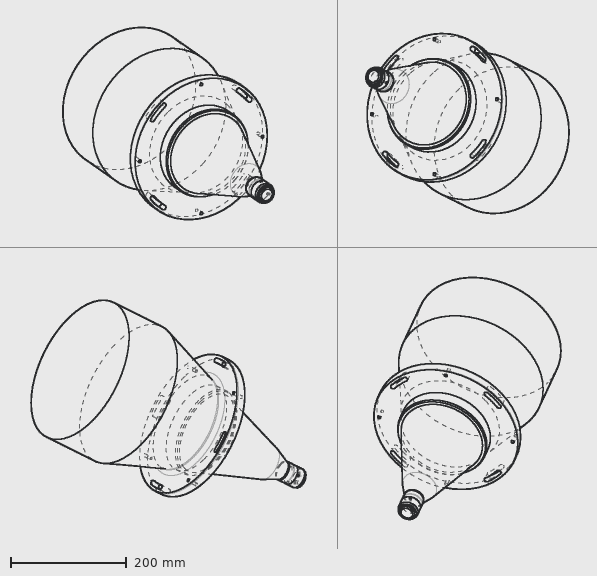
import cadquery as cq
import math

TOTAL_LENGTH = 503.4
DRUM_END = 110.0
REAR_CONE_END = 235.8
FLANGE_START = 246.0
FLANGE_END = 264.0
COLLAR_END = 288.5
MAIN_CONE_END = 426.5
NOSE_CONE_END = 458.8
RING_START = 461.0
RING_END = 470.5
KNOB_SEAT_END = 479.8
KNOB_END = 499.8

OUTER_RADIUS = 130.0
NECK_RADIUS = 89.0
COLLAR_RADIUS = 80.3
MAIN_CONE_BASE_RADIUS = 73.3
NOSE_CONE_BASE_RADIUS = 30.7
NOSE_CONE_TIP_RADIUS = 17.3
RING_RADIUS = 18.0
KNOB_SEAT_RADIUS = 17.8
KNOB_RADIUS = 17.95
BUTTON_RADIUS = 13.6

NECK_FILLET = 7.5
FLANGE_CHAMFER_LENGTH = 2.0
FLANGE_CHAMFER_DROP = 0.6
COLLAR_CHAMFER_LENGTH = 3.2
COLLAR_CHAMFER_DROP = 1.6
RING_SHOULDER = 1.4
KNOB_CHAMFER_LENGTH = 4.5
KNOB_CHAMFER_DROP = 1.5
BUTTON_CHAMFER_LENGTH = 1.5
BUTTON_CHAMFER_DROP = 3.0

PITCH_RADIUS = 120.0
OPENING_COUNT = 4
SLOT_WIDTH = 8.0
SLOT_HALF_ANGLE = 7.5
SLOT_FIRST_ANGLE = 45.0
PIN_HOLE_DIAMETER = 5.0

KNOB_HOLE_COUNT = 3
KNOB_HOLE_FIRST_ANGLE = 90.0
KNOB_HOLE_DIAMETER = 3.0
KNOB_HOLE_DEPTH = 5.0
KNOB_HOLE_X = 483.0


def polar(radius, angle):
    """Point on a circle in the YZ plane, angle in degrees from +Y towards +Z."""
    return radius * math.cos(math.radians(angle)), radius * math.sin(math.radians(angle))


def turned_body():
    """Half outline (X along the axis, Y as radius) revolved about X."""
    fillet_center_x = FLANGE_START - NECK_FILLET
    fillet_mid = NECK_FILLET * math.sin(math.radians(45))
    outline = (
        cq.Workplane("XY")
        .moveTo(0, 0)
        .lineTo(0, OUTER_RADIUS)
        .lineTo(DRUM_END, OUTER_RADIUS)
        .lineTo(REAR_CONE_END, NECK_RADIUS)
        .lineTo(fillet_center_x, NECK_RADIUS)
        .threePointArc(
            (fillet_center_x + fillet_mid, NECK_RADIUS + NECK_FILLET - fillet_mid),
            (FLANGE_START, NECK_RADIUS + NECK_FILLET),
        )
        .lineTo(FLANGE_START, OUTER_RADIUS - FLANGE_CHAMFER_DROP)
        .lineTo(FLANGE_START + FLANGE_CHAMFER_LENGTH, OUTER_RADIUS)
        .lineTo(FLANGE_END - FLANGE_CHAMFER_LENGTH, OUTER_RADIUS)
        .lineTo(FLANGE_END, OUTER_RADIUS - FLANGE_CHAMFER_DROP)
        .lineTo(FLANGE_END, COLLAR_RADIUS)
        .lineTo(COLLAR_END - COLLAR_CHAMFER_LENGTH, COLLAR_RADIUS)
        .lineTo(COLLAR_END, COLLAR_RADIUS - COLLAR_CHAMFER_DROP)
        .lineTo(COLLAR_END, MAIN_CONE_BASE_RADIUS)
        .lineTo(MAIN_CONE_END, NOSE_CONE_BASE_RADIUS)
        .lineTo(NOSE_CONE_END, NOSE_CONE_TIP_RADIUS)
        .lineTo(RING_START, NOSE_CONE_TIP_RADIUS)
        .lineTo(RING_START, RING_RADIUS)
        .lineTo(RING_END, RING_RADIUS)
        .lineTo(RING_END + RING_SHOULDER, KNOB_SEAT_RADIUS)
        .lineTo(KNOB_SEAT_END, KNOB_SEAT_RADIUS)
        .lineTo(KNOB_SEAT_END, KNOB_RADIUS)
        .lineTo(KNOB_END - KNOB_CHAMFER_LENGTH, KNOB_RADIUS)
        .lineTo(KNOB_END, KNOB_RADIUS - KNOB_CHAMFER_DROP)
        .lineTo(KNOB_END, BUTTON_RADIUS)
        .lineTo(TOTAL_LENGTH - BUTTON_CHAMFER_LENGTH, BUTTON_RADIUS)
        .lineTo(TOTAL_LENGTH, BUTTON_RADIUS - BUTTON_CHAMFER_DROP)
        .lineTo(TOTAL_LENGTH, 0)
        .close()
    )
    return outline.revolve(360, (0, 0, 0), (1, 0, 0))


def flange_plane():
    """Plane on the rear flange face; its local axes are Y and Z."""
    return cq.Workplane("YZ", origin=(FLANGE_START, 0, 0))


def arc_slot(mid_angle):
    """Round-ended slot that follows the pitch circle, through the flange."""
    start = mid_angle - SLOT_HALF_ANGLE
    end = mid_angle + SLOT_HALF_ANGLE
    inner = PITCH_RADIUS - SLOT_WIDTH / 2
    outer = PITCH_RADIUS + SLOT_WIDTH / 2
    cap_angle = math.degrees(SLOT_WIDTH / 2 / PITCH_RADIUS)
    return (
        flange_plane()
        .moveTo(*polar(inner, start))
        .threePointArc(polar(inner, mid_angle), polar(inner, end))
        .threePointArc(polar(PITCH_RADIUS, end + cap_angle), polar(outer, end))
        .threePointArc(polar(outer, mid_angle), polar(outer, start))
        .threePointArc(polar(PITCH_RADIUS, start - cap_angle), polar(inner, start))
        .close()
        .extrude(FLANGE_END - FLANGE_START)
    )


def pin_holes():
    """Small through holes in the flange, midway between the slots."""
    return (
        flange_plane()
        .polarArray(PITCH_RADIUS, 0, 360, OPENING_COUNT)
        .circle(PIN_HOLE_DIAMETER / 2)
        .extrude(FLANGE_END - FLANGE_START)
    )


def knob_hole(angle):
    """Blind radial hole drilled into the knob."""
    direction = cq.Vector(0, *polar(1, angle))
    start = cq.Vector(KNOB_HOLE_X, 0, 0) + direction * (KNOB_RADIUS - KNOB_HOLE_DEPTH)
    return cq.Solid.makeCylinder(KNOB_HOLE_DIAMETER / 2, 2 * KNOB_HOLE_DEPTH, start, direction)


result = turned_body().cut(pin_holes())
for index in range(OPENING_COUNT):
    result = result.cut(arc_slot(SLOT_FIRST_ANGLE + index * 360 / OPENING_COUNT))
for index in range(KNOB_HOLE_COUNT):
    result = result.cut(knob_hole(KNOB_HOLE_FIRST_ANGLE + index * 360 / KNOB_HOLE_COUNT))